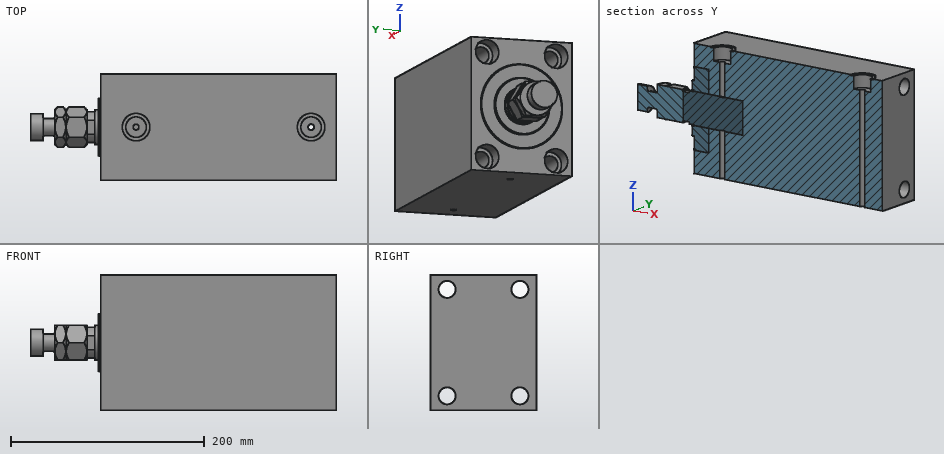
import cadquery as cq
import math


total_length = 316.0
housing_length = 243.5
housing_width = 110.0
housing_height = 140.0

bolt_spacing_y = 75.2
bolt_spacing_z = 110.0
bolt_hole_diameter = 17.5
counterbore_diameter = 25.3
counterbore_depth = 20.0

front_port_x = 36.5
port_spacing = 180.8
spotface_diameter = 28.5
spotface_depth = 1.0
port_diameter = 21.2
port_depth = 15.0
oil_hole_diameter = 6.0

flange_diameter = 89.0
flange_depth = 19.0
flange_chamfer = 1.0
collar_diameter = 60.0
collar_height = 2.5
collar_chamfer = 1.0
wiper_recess_diameter = 38.5
wiper_recess_depth = 2.0

rod_diameter = 36.0
rod_end_diameter = 35.0
rod_flat_distance = 32.0
rod_flat_length = 8.0
rod_protrusion = 14.0
rod_depth = 63.2

head_diameter = 28.0
head_length = 13.0
neck_diameter = 18.0
neck_fillet = 1.5
hex_across_flats = 36.0
hex_face_diameter = 35.5
front_hex_length = 11.7
rear_hex_length = 21.8

tip_x = housing_length - total_length
rod_front_x = -rod_protrusion
rear_hex_x = rod_front_x - rear_hex_length
front_hex_x = rear_hex_x - front_hex_length
neck_x = tip_x + head_length


def cylinder_x(diameter, x_start, x_end):
    """Solid cylinder on the X axis between two X positions."""
    return cq.Workplane("YZ", origin=(x_start, 0, 0)).circle(diameter / 2).extrude(x_end - x_start)


def drill_down(x, diameter, depth):
    """Cylinder that reaches down from the housing's top face."""
    top_face = cq.Workplane("XY", origin=(x, 0, housing_height / 2))
    return top_face.circle(diameter / 2).extrude(-depth)


def make_port(x):
    """Cutter for one oil port: spotface, port bore and an oil hole right through the housing."""
    spotface = drill_down(x, spotface_diameter, spotface_depth)
    bore = drill_down(x, port_diameter, port_depth)
    oil_hole = drill_down(x, oil_hole_diameter, housing_height)
    return spotface.union(bore).union(oil_hole)


def make_housing():
    """Block with bolt holes, oil ports and the seats of the gland and the rod."""
    block = cq.Workplane("XY").box(
        housing_length, housing_width, housing_height, centered=(False, True, True)
    )
    block = (
        block.faces("<X")
        .workplane(centerOption="CenterOfBoundBox")
        .rect(bolt_spacing_y, bolt_spacing_z, forConstruction=True)
        .vertices()
        .cboreHole(bolt_hole_diameter, counterbore_diameter, counterbore_depth)
    )
    for x in (front_port_x, front_port_x + port_spacing):
        block = block.cut(make_port(x))
    gland_seat = cylinder_x(flange_diameter, 0, flange_depth)
    rod_seat = cylinder_x(rod_diameter, 0, rod_depth)
    return block.cut(gland_seat).cut(rod_seat)


def make_gland():
    """Flange and collar, bored for the rod and recessed at the collar's front for the wiper."""
    flange = cylinder_x(flange_diameter, 0, flange_depth).faces("<X").chamfer(flange_chamfer)
    collar = cylinder_x(collar_diameter, -collar_height, 0).faces("<X").chamfer(collar_chamfer)
    rod_bore = cylinder_x(rod_diameter, -collar_height, flange_depth)
    wiper_recess = cylinder_x(
        wiper_recess_diameter, -collar_height, wiper_recess_depth - collar_height
    )
    return flange.union(collar).cut(rod_bore).cut(wiper_recess)


def make_rod():
    """Round rod with a slightly thinner front end that carries four wrench flats."""
    rod = cylinder_x(rod_diameter, rod_front_x + rod_flat_length, rod_depth)
    square = (
        cq.Workplane("YZ", origin=(rod_front_x, 0, 0))
        .rect(rod_flat_distance, rod_flat_distance)
        .extrude(rod_flat_length)
    )
    rod_end = cylinder_x(rod_end_diameter, rod_front_x, rod_front_x + rod_flat_length)
    return rod.union(rod_end.intersect(square))


def make_hexagon(x_start, length):
    """Hexagon with flats facing +Z and -Z, its corners turned to a 45 degree chamfer at both ends."""
    across_corners = hex_across_flats / math.cos(math.pi / 6)
    prism = cq.Workplane("YZ", origin=(x_start, 0, 0)).polygon(6, across_corners).extrude(length)
    chamfer = (across_corners - hex_face_diameter) / 2
    turned = cylinder_x(across_corners, x_start, x_start + length).faces("<X or >X").chamfer(chamfer)
    return prism.intersect(turned)


def make_coupling():
    """Pin head and neck with two chamfered hexagons, the rear one against the rod's front end."""
    head = cylinder_x(head_diameter, tip_x, neck_x)
    neck_radius = neck_diameter / 2
    root_radius = neck_radius + neck_fillet
    fillet_middle = neck_fillet * (1 - math.sqrt(0.5))
    neck = (
        cq.Workplane("XY")
        .moveTo(neck_x, 0)
        .lineTo(neck_x, root_radius)
        .threePointArc(
            (neck_x + fillet_middle, neck_radius + fillet_middle), (neck_x + neck_fillet, neck_radius)
        )
        .lineTo(front_hex_x - neck_fillet, neck_radius)
        .threePointArc(
            (front_hex_x - fillet_middle, neck_radius + fillet_middle), (front_hex_x, root_radius)
        )
        .lineTo(front_hex_x, 0)
        .close()
        .revolve(360, (0, 0, 0), (1, 0, 0))
    )
    front_hex = make_hexagon(front_hex_x, front_hex_length)
    rear_hex = make_hexagon(rear_hex_x, rear_hex_length)
    return head.union(neck).union(front_hex).union(rear_hex)


housing = make_housing()
gland = make_gland()
rod = make_rod()
coupling = make_coupling()

result = cq.Compound.makeCompound([housing.val(), gland.val(), rod.val(), coupling.val()])